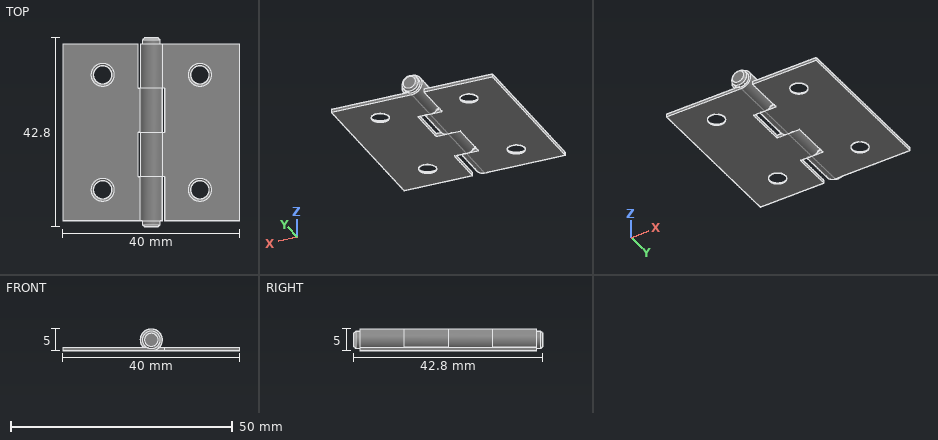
import cadquery as cq
import math

HINGE_WIDTH = 40.0
HINGE_LENGTH = 40.0
THICKNESS = 0.8
KNUCKLE_COUNT = 4
KNUCKLE_LENGTH = HINGE_LENGTH / KNUCKLE_COUNT
NOTCH_EDGE = 3.0

KNUCKLE_RADIUS = 2.5
BORE_RADIUS = KNUCKLE_RADIUS - THICKNESS
AXIS_HEIGHT = KNUCKLE_RADIUS
CURL_END_ANGLE = 312.0

PIN_LENGTH = 42.8
HEAD_RADIUS = 2.0
HEAD_LENGTH = (PIN_LENGTH - HINGE_LENGTH) / 2
HEAD_CHAMFER = 0.5

HOLE_DIAMETER = 4.1
COUNTERSINK_DIAMETER = 5.2
COUNTERSINK_ANGLE = 90.0
HOLE_SPACING_X = 22.0
HOLE_SPACING_Y = 26.0


def curl_point(radius, angle):
    """Point (x, z) of the curl at an angle measured from its lowest point, turning towards +X."""
    turn = math.radians(angle)
    return radius * math.sin(turn), AXIS_HEIGHT - radius * math.cos(turn)


def make_knuckle(start_y):
    """One rolled knuckle and the tongue of sheet that joins it to a leaf on the -X side."""
    half_sweep = CURL_END_ANGLE / 2
    profile = (
        cq.Workplane("XZ", origin=(0, start_y, 0))
        .moveTo(-NOTCH_EDGE, 0)
        .lineTo(0, 0)
        .threePointArc(curl_point(KNUCKLE_RADIUS, half_sweep), curl_point(KNUCKLE_RADIUS, CURL_END_ANGLE))
        .lineTo(*curl_point(BORE_RADIUS, CURL_END_ANGLE))
        .threePointArc(curl_point(BORE_RADIUS, half_sweep), (0, THICKNESS))
        .lineTo(-NOTCH_EDGE, THICKNESS)
        .close()
    )
    return profile.extrude(-KNUCKLE_LENGTH)


def make_leaf():
    """Leaf on the -X side, with every second knuckle starting from the -Y end."""
    leaf = cq.Workplane("XY").box(
        HINGE_WIDTH / 2 - NOTCH_EDGE, HINGE_LENGTH, THICKNESS, centered=(False, True, False)
    ).translate((-HINGE_WIDTH / 2, 0, 0))
    leaf = (
        leaf.faces(">Z")
        .workplane(origin=(-HOLE_SPACING_X / 2, 0, THICKNESS))
        .rarray(1, HOLE_SPACING_Y, 1, 2)
        .cskHole(HOLE_DIAMETER, COUNTERSINK_DIAMETER, COUNTERSINK_ANGLE)
    )
    for index in range(0, KNUCKLE_COUNT, 2):
        leaf = leaf.union(make_knuckle(-HINGE_LENGTH / 2 + index * KNUCKLE_LENGTH))
    return leaf


def make_pin():
    """Pin that fills the bore, with a wider chamfered head outside each end of the knuckles."""
    pin = (
        cq.Workplane("XZ", origin=(0, 0, AXIS_HEIGHT))
        .circle(BORE_RADIUS)
        .extrude(HINGE_LENGTH / 2, both=True)
    )
    for side in (-1, 1):
        head = (
            cq.Workplane("XZ", origin=(0, side * HINGE_LENGTH / 2, AXIS_HEIGHT))
            .circle(HEAD_RADIUS)
            .extrude(-side * HEAD_LENGTH)
        )
        outer_face = ">Y" if side > 0 else "<Y"
        pin = pin.union(head.faces(outer_face).edges().chamfer(HEAD_CHAMFER))
    return pin


left_leaf = make_leaf()
right_leaf = left_leaf.rotate((0, 0, 0), (0, 0, 1), 180)
pin = make_pin()

result = cq.Compound.makeCompound([left_leaf.val(), right_leaf.val(), pin.val()])